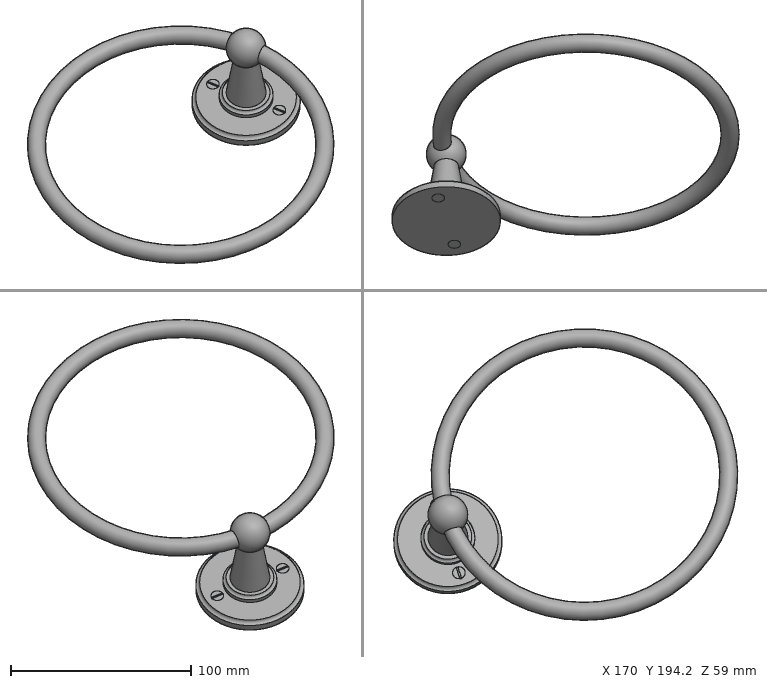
import cadquery as cq
import math

plate_diameter = 60.0
plate_radius = plate_diameter / 2
plate_height = 6.0
plate_cove = 2.1
collar_radius = 15.0
collar_top = 10.1
collar_cove = 1.7

post_bottom_radius = 11.0
post_top_radius = 6.8
ball_radius = 11.0
total_height = 59.0
ball_center_z = total_height - ball_radius
post_top = ball_center_z - math.sqrt(ball_radius**2 - post_top_radius**2)

total_length = 194.2
ring_outer_diameter = 170.0
ring_outer_radius = ring_outer_diameter / 2
tube_radius = 5.0
ring_radius = ring_outer_radius - tube_radius
ring_center_y = plate_radius + ring_outer_radius - total_length

screw_spacing = 41.4
screw_radius = 3.5
slot_width = 1.0
slot_depth = 1.0


def make_ring():
    """Full round ring lying level at the height of the ball centre."""
    ring = cq.Solid.makeTorus(ring_radius, tube_radius)
    return cq.Workplane(ring.translate(cq.Vector(0, ring_center_y, ball_center_z)))


def make_screw(x):
    """Cylinder through the plate with a screwdriver slot along X in its top."""
    screw = cq.Workplane().center(x, 0).circle(screw_radius).extrude(plate_height)
    slot = (
        cq.Workplane(origin=(x, 0, plate_height))
        .rect(2 * screw_radius, slot_width)
        .extrude(-slot_depth)
    )
    return screw.cut(slot).solids().val()


def cove_middle(outer_radius, top, cove):
    """Midpoint of a concave quarter round centred on the removed corner."""
    offset = cove * math.sqrt(0.5)
    return outer_radius - offset, top - offset


def make_bracket():
    """Plate, collar, post and ball, with passages for the ring and the screws."""
    turned = (
        cq.Workplane("XZ")
        .lineTo(plate_radius, 0)
        .lineTo(plate_radius, plate_height - plate_cove)
        .threePointArc(
            cove_middle(plate_radius, plate_height, plate_cove),
            (plate_radius - plate_cove, plate_height),
        )
        .lineTo(collar_radius, plate_height)
        .lineTo(collar_radius, collar_top - collar_cove)
        .threePointArc(
            cove_middle(collar_radius, collar_top, collar_cove),
            (collar_radius - collar_cove, collar_top),
        )
        .lineTo(post_bottom_radius, collar_top)
        .lineTo(post_top_radius, post_top)
        .threePointArc((ball_radius, ball_center_z), (0, total_height))
        .close()
        .revolve(360, (0, 0), (0, 1))
    )
    screw_holes = (
        cq.Workplane()
        .pushPoints([(x, 0) for x in screw_positions])
        .circle(screw_radius)
        .extrude(plate_height)
    )
    return turned.cut(screw_holes).cut(ring)


screw_positions = (-screw_spacing / 2, screw_spacing / 2)
ring = make_ring()
bracket = make_bracket()
screws = [make_screw(x) for x in screw_positions]

result = cq.Compound.makeCompound([bracket.solids().val(), ring.val(), *screws])